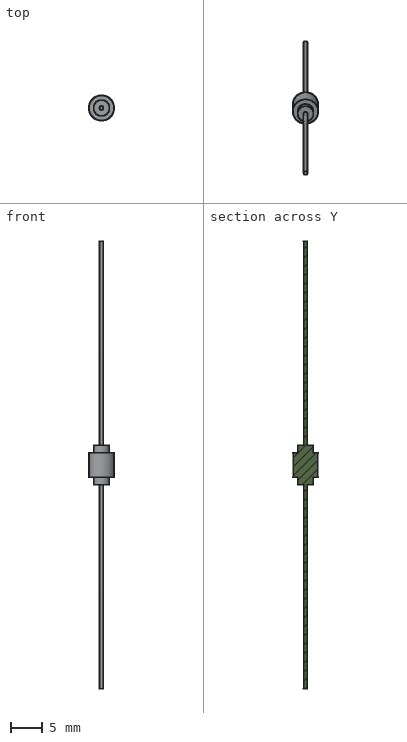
import cadquery as cq

overall_length = 71.37
body_diameter = 4.06
body_length = 3.94
collar_diameter = 2.54
collar_span = 6.35
lead_diameter = 0.64


def centered_cylinder(diameter, length):
    """Cylinder along Z, centered on the origin."""
    return cq.Workplane("XY").cylinder(length, diameter / 2)


body = centered_cylinder(body_diameter, body_length)
collars = centered_cylinder(collar_diameter, collar_span)
leads = centered_cylinder(lead_diameter, overall_length)

result = body.union(collars).union(leads)